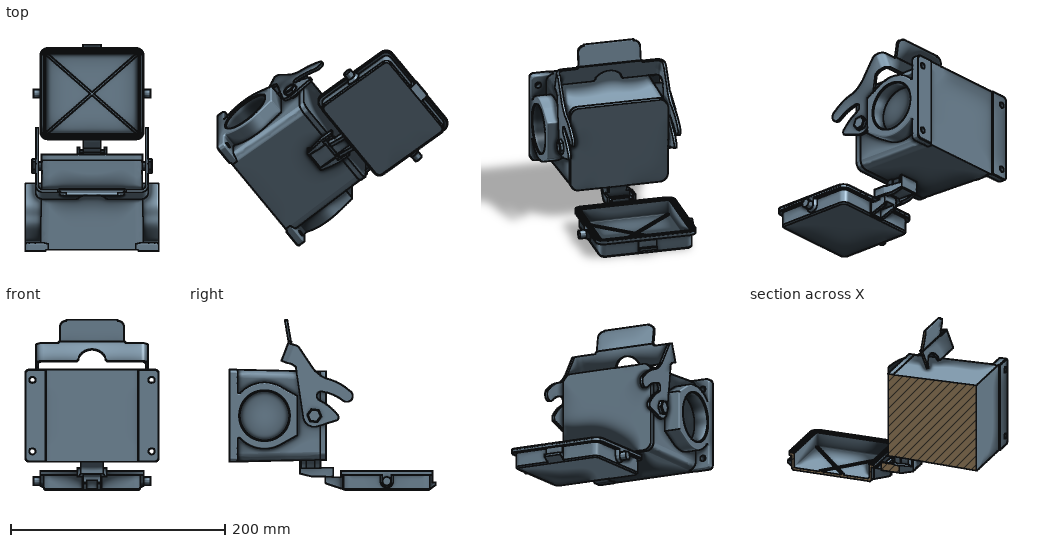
import cadquery as cq
import math


overall_width = 125.0
overall_depth = 193.21
overall_height = 159.68
top_z = 89.8
bottom_z = top_z - overall_height

flange_height = 86.4
flange_thickness = 7.9
flange_corner = 4.0
flange_front_edge = 0.6
hole_dia = 5.6
hole_x = 55.65
hole_z = 33.3
relief_half_width = 43.6
relief_floor_half_width = 42.9
relief_depth = 1.5

housing_rear_y = 90.6
rim_length = 5.3
rim_width = 94.5
rim_height = 83.0
rim_corner = 8.0
body_front_width = 96.4
body_front_height = flange_height
body_rear_width = 93.4
body_rear_height = 82.6
body_corner = 7.5

entry_y = 33.1
entry_boss_radius = 31.0
entry_boss_rear_y = 63.9
entry_root_fillet = 1.5
side_edge_fillet = 1.6
entry_flat_half = 18.3
entry_bore_dia = 46.0
entry_bore_depth = 14.5
entry_mouth_edge = 0.9

pivot_y = 79.6
pivot_dia = 8.0
bolt_head_corners = 13.6
bolt_head_outer_x = 56.2
bolt_head_edge = 0.8
bolt_head_turn = 7.0

lever_half_width = 52.5
lever_sheet = 2.5
lever_bend = 6.7
lever_pivot_radius = 10.4
lever_reach = 80.0
heel = (62.3, 45.2)
heel_curve = (59.9, 47.3)
nose_bottom = (101.1, -4.3)
nose_tip = (102.3, -1.0)
nose_top = (101.3, 1.0)
jaw_curve = (96.7, 5.9)
jaw_end = (91.5, 10.3)
throat_start = (84.4, 14.5)
throat_back = (81.9, 18.9)
throat_end = (86.8, 22.6)
claw_under_curve = (96.8, 19.6)
claw_under_end = (107.1, 13.6)
claw_tip = (115.6, 17.9)
claw_top = (112.8, 23.2)
claw_back_curve = (101.6, 30.9)
claw_back_end = (89.3, 35.2)
neck_curve = (83.3, 39.2)
neck_end = (78.5, 44.1)
shoulder_start = (65.7, 63.3)
shoulder_curve = (63.6, 65.2)
strap_top = (55.3, 68.0)
strap_bottom = (48.8, 51.3)
strap_side_top = (60.8, 66.1)
strap_side_bottom = (55.0, 48.9)
notch_half_width = 12.3
notch_flare_half_width = 14.1
notch_flare_height = 2.5
notch_depth = 11.8
notch_shoulder = 4.0

tab_base = (56.6, 69.4)
tab_tilt = 9.6
tab_half_width = 30.0
tab_corner = 6.0
tab_flare = 2.0
tab_root_height = 2.2

lid_center_y = 147.3
lid_rim_top_z = -51.6
lid_rim_bottom_z = -55.6
lid_rim_width = 96.9
lid_rim_length = 85.6
lid_rim_corner = 7.5
lid_rim_edge = 0.6
lid_body_width = 90.0
lid_body_length = 80.2
lid_body_corner = 6.0
lid_bottom_edge = 1.5
cavity_width = 86.0
cavity_length = 75.0
cavity_corner = 2.5
cavity_root = 1.4
lid_floor = 3.0
seal_outer_inset = 1.2
seal_width = 1.5
seal_depth = 1.0
seal_land = 1.5
lid_rib_width = 2.2
lid_rib_height = 1.0
lid_pin_dia = 8.0
lid_pin_tip_x = 54.7
lid_pin_z = -61.2
lid_pin_boss_radius = 6.0
lid_pin_boss_tip_radius = 4.3
catch_half_width = 8.6
catch_lip_top_z = -62.4
catch_lip_bottom_z = -64.6

ear_half_width = 13.8
ear_thickness = 2.2
hinge_front_half_width = 10.7
hinge_web_half_width = 7.0
hinge_web_step = 1.5
hinge_front_y = 66.2
hinge_front_wall = 1.2
hinge_web_start_y = 72.3
hinge_web_step_y = 79.8
hinge_mid_y = 85.6
hinge_rear_y = 97.4
hinge_top_z = -48.6
hinge_bottom_z = -57.0
hinge_front_bottom_z = -54.2
hinge_slope_y = 77.5
hinge_top_step = 0.7
hinge_top_ramp = 3.0
hinge_pin_y = 93.3
hinge_pin_z = -53.0
hinge_pin_dia = 3.0
arm_half_width = 8.2
arm_tip_y = 89.7
arm_top_z = -57.4
arm_tip_bottom_z = -62.4
arm_root_bottom_z = -69.0
arm_tip_chamfer = 1.2
arm_slot_top_z = -60.1
knuckle_half = 3.0
arm_slot_half_width = 5.1
arm_pad_half_width = 8.9
arm_pad_thickness = 0.9

pick_tolerance = 0.1


def box(x0, x1, y0, y1, z0, z1):
    """Axis-aligned box between two opposite corners."""
    return cq.Workplane("XY").box(x1 - x0, y1 - y0, z1 - z0, centered=False).translate((x0, y0, z0))


def across_x(points, half_width):
    """Polygon of (Y, Z) points, extruded symmetrically about X = 0."""
    return cq.Workplane("YZ").polyline(points).close().extrude(half_width, both=True)


def rod_x(y, z, dia, x0, x1):
    """Cylinder along X."""
    return cq.Workplane("YZ", origin=(x0, y, z)).circle(dia / 2).extrude(x1 - x0)


def mirrored(solid):
    """The solid joined with its reflection in the X = 0 plane."""
    return solid.union(solid.mirror("YZ"))


def rounded_plate(width, length, corner, z0, z1):
    """Lid-centred rounded rectangle between two heights."""
    plate = box(-width / 2, width / 2, lid_center_y - length / 2, lid_center_y + length / 2, z0, z1)
    return plate.edges("|Z").fillet(corner)


def make_flange():
    half = overall_width / 2
    plate = box(-half, half, 0, flange_thickness, -flange_height / 2, flange_height / 2)
    plate = plate.edges("|Y").fillet(flange_corner)
    return plate.faces("<Y").edges().chamfer(flange_front_edge)


def make_body():
    rear_y = housing_rear_y - rim_length
    front = cq.Sketch().rect(body_front_width, body_front_height).vertices().fillet(body_corner)
    rear = cq.Sketch().rect(body_rear_width, body_rear_height).vertices().fillet(body_corner)
    body = (
        cq.Workplane("XZ")
        .placeSketch(front, rear.moved(cq.Location(cq.Vector(0, 0, -rear_y))))
        .loft()
    )
    half_w = rim_width / 2
    half_h = rim_height / 2
    rim = box(-half_w, half_w, rear_y, housing_rear_y, -half_h, half_h)
    return body.union(rim.edges("|Y").fillet(rim_corner))


def make_entry_boss():
    """Boss on the -X side: round, running out straight to a flat at the rear."""
    reach = entry_boss_rear_y - entry_y
    corner_angle = math.atan2(entry_flat_half, reach)
    corner_distance = math.hypot(entry_flat_half, reach)
    tangent_angle = corner_angle + math.acos(entry_boss_radius / corner_distance)
    tangent_y = entry_y + entry_boss_radius * math.cos(tangent_angle)
    tangent_z = entry_boss_radius * math.sin(tangent_angle)
    foot_y = flange_thickness / 2
    foot_z = math.sqrt(entry_boss_radius**2 - (entry_y - foot_y) ** 2)
    return (
        cq.Workplane("YZ", origin=(-overall_width / 2, 0, 0))
        .moveTo(foot_y, -foot_z)
        .threePointArc((entry_y, -entry_boss_radius), (tangent_y, -tangent_z))
        .lineTo(entry_boss_rear_y, -entry_flat_half)
        .lineTo(entry_boss_rear_y, entry_flat_half)
        .lineTo(tangent_y, tangent_z)
        .threePointArc((entry_y, entry_boss_radius), (foot_y, foot_z))
        .close()
        .extrude((overall_width - body_rear_width) / 2 + body_corner)
    )


def make_entry_bore():
    """Blind bore of the -X entry with a chamfered mouth."""
    outer_x = -overall_width / 2
    bore = rod_x(entry_y, 0, entry_bore_dia, outer_x, outer_x + entry_bore_depth)
    mouth = (
        cq.Workplane("YZ", origin=(outer_x, entry_y, 0))
        .circle(entry_bore_dia / 2 + entry_mouth_edge)
        .workplane(offset=entry_mouth_edge)
        .circle(entry_bore_dia / 2)
        .loft()
    )
    return bore.union(mouth)


def between_y(y0, y1):
    """Selector for edges whose middle lies between two Y values."""
    return cq.selectors.BoxSelector((-overall_width, y0, -flange_height), (overall_width, y1, flange_height))


def make_base():
    """Flange and entry bosses, blended together and rounded along their outer side edges."""
    base = make_flange().union(mirrored(make_entry_boss()))
    corners = between_y(flange_thickness - pick_tolerance, flange_thickness + pick_tolerance)
    near_bosses = cq.selectors.BoxSelector(
        (-overall_width, 0, -entry_boss_radius), (overall_width, entry_y, entry_boss_radius)
    )
    base = base.edges("|X").edges(corners).edges(near_bosses).fillet(entry_root_fillet)
    behind_front_edge = between_y(flange_thickness - pick_tolerance, overall_depth)
    for side in ("<X", ">X"):
        base = base.faces(side).edges(behind_front_edge).fillet(side_edge_fillet)
    return base


def make_housing():
    flat_half = body_front_width / 2 - body_corner
    middle = box(-flat_half, flat_half, 0, flange_thickness, -flange_height / 2, flange_height / 2)
    housing = make_base().cut(middle).union(make_body())
    housing = housing.cut(mirrored(make_entry_bore()))
    relief = (
        cq.Workplane("XY")
        .polyline([
            (-relief_half_width, 0),
            (relief_half_width, 0),
            (relief_floor_half_width, relief_depth),
            (-relief_floor_half_width, relief_depth),
        ])
        .close()
        .extrude(flange_height, both=True)
    )
    holes = (
        cq.Workplane("XZ")
        .rect(2 * hole_x, 2 * hole_z, forConstruction=True)
        .vertices()
        .circle(hole_dia / 2)
        .extrude(-flange_thickness)
    )
    return housing.cut(relief).cut(holes)


def make_lever_profile():
    """Side outline of the lever, filled across its full width."""
    front_angle = math.atan2(heel[1], heel[0] - pivot_y)
    front_angle += math.acos(lever_pivot_radius / math.hypot(heel[0] - pivot_y, heel[1]))
    nose_angle = math.atan2(nose_bottom[1], nose_bottom[0] - pivot_y)
    nose_angle -= math.acos(lever_pivot_radius / math.hypot(nose_bottom[0] - pivot_y, nose_bottom[1]))
    nose_angle += 2 * math.pi

    def on_pivot(angle):
        return pivot_y + lever_pivot_radius * math.cos(angle), lever_pivot_radius * math.sin(angle)

    return (
        cq.Workplane("YZ")
        .moveTo(*strap_side_top)
        .lineTo(*strap_top)
        .lineTo(*strap_bottom)
        .lineTo(*strap_side_bottom)
        .threePointArc(heel_curve, heel)
        .lineTo(*on_pivot(front_angle))
        .threePointArc(on_pivot((front_angle + nose_angle) / 2), on_pivot(nose_angle))
        .lineTo(*nose_bottom)
        .threePointArc(nose_tip, nose_top)
        .threePointArc(jaw_curve, jaw_end)
        .lineTo(*throat_start)
        .threePointArc(throat_back, throat_end)
        .threePointArc(claw_under_curve, claw_under_end)
        .threePointArc(claw_tip, claw_top)
        .threePointArc(claw_back_curve, claw_back_end)
        .threePointArc(neck_curve, neck_end)
        .lineTo(*shoulder_start)
        .threePointArc(shoulder_curve, strap_side_top)
        .close()
        .extrude(lever_half_width, both=True)
    )


def strap_plane():
    """Frame on the outer face of the strap: local x along X, local y up the strap."""
    up_y = strap_top[0] - strap_bottom[0]
    up_z = strap_top[1] - strap_bottom[1]
    return cq.Plane(origin=(0, *strap_bottom), xDir=(1, 0, 0), normal=(0, -up_z, up_y))


def make_channel():
    """Long U-shaped sheet whose base is the strap and whose legs are the side plates."""
    plane = strap_plane()
    section = cq.Plane(origin=plane.origin, xDir=(1, 0, 0), normal=plane.yDir)
    outer = cq.Workplane(section).rect(2 * lever_half_width, 2 * lever_reach).extrude(lever_reach, both=True)
    outer = outer.translate(plane.zDir * -lever_reach)
    inner_half = lever_half_width - lever_sheet
    inner = cq.Workplane(section).rect(2 * inner_half, 2 * lever_reach).extrude(lever_reach, both=True)
    inner = inner.translate(plane.zDir * -(lever_reach + lever_sheet))
    along_strap = cq.selectors.ParallelDirSelector(plane.yDir)
    outer = outer.edges(along_strap).fillet(lever_bend)
    inner = inner.edges(along_strap).fillet(lever_bend - lever_sheet)
    return outer.cut(inner)


def make_notch():
    return (
        cq.Workplane(strap_plane())
        .moveTo(-notch_flare_half_width, 0)
        .lineTo(-notch_half_width, notch_flare_height)
        .lineTo(-notch_half_width, notch_shoulder)
        .threePointArc((0, notch_depth), (notch_half_width, notch_shoulder))
        .lineTo(notch_half_width, notch_flare_height)
        .lineTo(notch_flare_half_width, 0)
        .close()
        .extrude(lever_sheet * 2, both=True)
    )


def make_tab():
    """Finger tab rising from the strap, slightly tilted forward, with rounded tip."""
    tilt = math.radians(tab_tilt)
    tip_radius = lever_sheet / 2
    height = (top_z - tip_radius - tab_base[1]) / math.cos(tilt)
    plane = cq.Plane(
        origin=(0, *tab_base), xDir=(1, 0, 0), normal=(0, -math.cos(tilt), -math.sin(tilt))
    )
    blade = (
        cq.Workplane(plane)
        .rect(2 * tab_half_width, 2 * height)
        .extrude(lever_sheet / 2, both=True)
        .edges(cq.selectors.ParallelDirSelector(plane.zDir))
        .fillet(tab_corner)
    )
    lower = (
        cq.Workplane(plane)
        .center(0, -height)
        .rect(2 * tab_half_width, 2 * height)
        .extrude(lever_sheet, both=True)
    )
    tip_z = height * math.cos(tilt) + tab_base[1]
    tip_y = tab_base[0] - height * math.sin(tilt)
    flat_half = tab_half_width - tab_corner
    tip = rod_x(tip_y, tip_z, lever_sheet, -flat_half, flat_half)
    return blade.cut(lower).union(tip).union(make_tab_root())


def make_tab_root():
    """Flared extension of the strap from which the tab is bent up."""
    strap_length = math.dist(strap_top, strap_bottom)
    root_half = tab_half_width + tab_flare
    return (
        cq.Workplane(strap_plane())
        .polyline([
            (-root_half, strap_length),
            (root_half, strap_length),
            (tab_half_width, strap_length + tab_root_height),
            (-tab_half_width, strap_length + tab_root_height),
        ])
        .close()
        .extrude(-lever_sheet)
    )


def make_bolt():
    """Pivot bolt on the -X side: round shank and chamfered hexagon head."""
    head_length = bolt_head_outer_x - lever_half_width
    head = (
        cq.Workplane("YZ", origin=(-bolt_head_outer_x, pivot_y, 0))
        .transformed(rotate=(0, 0, -bolt_head_turn))
        .polygon(6, bolt_head_corners)
        .extrude(head_length)
        .faces("<X")
        .edges()
        .chamfer(bolt_head_edge)
    )
    return head.union(rod_x(pivot_y, 0, pivot_dia, -lever_half_width, -rim_width / 2 + body_corner))


def make_lever():
    lever = make_lever_profile().intersect(make_channel())
    return lever.cut(make_notch()).union(make_tab()).union(mirrored(make_bolt()))


def make_lid_shell():
    shell = rounded_plate(lid_body_width, lid_body_length, lid_body_corner, bottom_z, lid_rim_top_z)
    shell = shell.faces("<Z").edges().chamfer(lid_bottom_edge)
    rim = rounded_plate(lid_rim_width, lid_rim_length, lid_rim_corner, lid_rim_bottom_z, lid_rim_top_z)
    return shell.union(rim.faces("<Z").edges().chamfer(lid_rim_edge))


def make_lid_pin():
    """Locking pin on the -X side with the U-shaped boss that carries it."""
    root_x = -lid_body_width / 2 + lid_body_corner
    boss_x = -lid_rim_width / 2
    wall_x = -lid_body_width / 2
    arch_height = (lid_rim_bottom_z + lid_rim_top_z) / 2 - lid_pin_z

    def arch(workplane, radius):
        return (
            workplane.moveTo(-radius, arch_height)
            .lineTo(-radius, 0)
            .threePointArc((0, -radius), (radius, 0))
            .lineTo(radius, arch_height)
            .close()
        )

    tip = arch(cq.Workplane("YZ", origin=(boss_x, lid_center_y, lid_pin_z)), lid_pin_boss_tip_radius)
    boss = arch(tip.workplane(offset=wall_x - boss_x), lid_pin_boss_radius).loft()
    pin = rod_x(lid_center_y, lid_pin_z, lid_pin_dia, -lid_pin_tip_x, root_x)
    return boss.union(pin)


def rim_ring(inset, width):
    """Shallow channel running round the rim at a given inset from its outer edge."""
    z0 = lid_rim_top_z - seal_depth
    inner = inset + width
    ring = rounded_plate(
        lid_rim_width - 2 * inset, lid_rim_length - 2 * inset, lid_rim_corner - inset, z0, lid_rim_top_z
    )
    core = rounded_plate(
        lid_rim_width - 2 * inner, lid_rim_length - 2 * inner, lid_rim_corner - inner, z0, lid_rim_top_z
    )
    return ring.cut(core)


def make_lid_ribs():
    """Two crossed ribs along the diagonals of the lid floor."""
    diagonal = math.hypot(cavity_width, cavity_length)
    angle = math.degrees(math.atan2(cavity_length, cavity_width))
    ribs = cq.Workplane("XY")
    for turn in (angle, -angle):
        rib = cq.Workplane("XY").rect(diagonal, lid_rib_width).extrude(lid_floor / 2 + lid_rib_height)
        ribs = ribs.union(rib.rotate((0, 0, 0), (0, 0, 1), turn))
    return ribs.translate((0, lid_center_y, bottom_z + lid_floor / 2))


def make_catch():
    """Wedge-shaped catch on the far edge of the lid."""
    rim_rear_y = lid_center_y + lid_rim_length / 2
    body_rear_y = lid_center_y + lid_body_length / 2
    points = [
        (body_rear_y - lid_floor, lid_rim_bottom_z),
        (rim_rear_y, lid_rim_bottom_z),
        (rim_rear_y, catch_lip_top_z),
        (overall_depth, catch_lip_top_z),
        (overall_depth, catch_lip_bottom_z),
        (body_rear_y - lid_bottom_edge, bottom_z),
        (body_rear_y - lid_floor, bottom_z),
    ]
    return across_x(points, catch_half_width)


def make_arm():
    """Hinge arm of the lid: a tapered lug, slotted underneath, ending in a knuckle."""
    root_y = lid_center_y - lid_body_length / 2 + lid_floor
    body_face_y = root_y - lid_floor
    rim_front_y = lid_center_y - lid_rim_length / 2
    points = [
        (root_y, lid_rim_bottom_z),
        (rim_front_y, lid_rim_bottom_z),
        (rim_front_y, arm_top_z),
        (hinge_pin_y + knuckle_half, arm_top_z),
        (hinge_pin_y + knuckle_half, lid_rim_top_z),
        (hinge_pin_y - knuckle_half, lid_rim_top_z),
        (arm_tip_y, arm_top_z),
        (arm_tip_y, arm_tip_bottom_z),
        (arm_tip_y + arm_tip_chamfer, arm_tip_bottom_z - arm_tip_chamfer),
        (body_face_y, arm_root_bottom_z),
        (root_y, arm_root_bottom_z),
    ]
    slot = box(-arm_slot_half_width, arm_slot_half_width, 0, body_face_y, bottom_z, arm_slot_top_z)
    pad = box(
        -arm_pad_half_width, arm_pad_half_width, body_face_y - arm_pad_thickness, root_y,
        bottom_z + lid_bottom_edge, lid_rim_bottom_z,
    )
    return across_x(points, arm_half_width).cut(slot).union(pad)


def make_lid():
    lid = make_lid_shell().union(mirrored(make_lid_pin())).union(make_catch()).union(make_arm())
    cavity = rounded_plate(
        cavity_width, cavity_length, cavity_corner, bottom_z + lid_floor, lid_rim_top_z
    )
    cavity = cavity.faces("<Z").edges().fillet(cavity_root)
    lid = lid.cut(cavity)
    for inset in (seal_outer_inset, seal_outer_inset + seal_width + seal_land):
        lid = lid.cut(rim_ring(inset, seal_width))
    return lid.union(make_lid_ribs())


def make_hinge():
    inside_z = -rim_height / 2 + rim_corner / 2
    column_half = [
        (0, hinge_front_y),
        (-hinge_front_half_width, hinge_front_y),
        (-hinge_front_half_width, hinge_front_y + hinge_front_wall),
        (-hinge_web_half_width, hinge_web_start_y),
        (-hinge_web_half_width, hinge_web_step_y),
        (-hinge_web_half_width - hinge_web_step, hinge_web_step_y),
        (-hinge_web_half_width - hinge_web_step, hinge_mid_y),
        (0, hinge_mid_y),
    ]
    column = (
        cq.Workplane("XY", origin=(0, 0, hinge_front_bottom_z))
        .polyline(column_half)
        .close()
        .extrude(inside_z - hinge_front_bottom_z)
    )
    plan_half = [
        (0, hinge_front_y),
        (-hinge_front_half_width, hinge_front_y),
        (-ear_half_width, hinge_mid_y),
        (-ear_half_width, hinge_rear_y),
        (-ear_half_width + ear_thickness, hinge_rear_y),
        (-ear_half_width + ear_thickness, hinge_mid_y),
        (0, hinge_mid_y),
    ]
    foot = (
        cq.Workplane("XY", origin=(0, 0, hinge_bottom_z))
        .polyline(plan_half)
        .close()
        .extrude(hinge_top_z - hinge_bottom_z)
    )
    side = [
        (hinge_front_y, hinge_top_z - hinge_top_step),
        (hinge_front_y, hinge_front_bottom_z),
        (hinge_slope_y, hinge_bottom_z),
        (hinge_rear_y, hinge_bottom_z),
        (hinge_rear_y, hinge_top_z),
        (hinge_mid_y, hinge_top_z),
        (hinge_mid_y - hinge_top_ramp, hinge_top_z - hinge_top_step),
    ]
    bracket = mirrored(column).union(mirrored(foot).intersect(across_x(side, ear_half_width)))
    knuckle_space = box(
        -arm_half_width, arm_half_width, hinge_front_y + hinge_front_wall, hinge_mid_y,
        hinge_bottom_z, hinge_front_bottom_z,
    )
    bracket = bracket.cut(knuckle_space)
    ear_inner = ear_half_width - ear_thickness / 2
    return bracket.union(rod_x(hinge_pin_y, hinge_pin_z, hinge_pin_dia, -ear_inner, ear_inner))


result = make_housing().union(make_lever()).union(make_hinge()).union(make_lid())